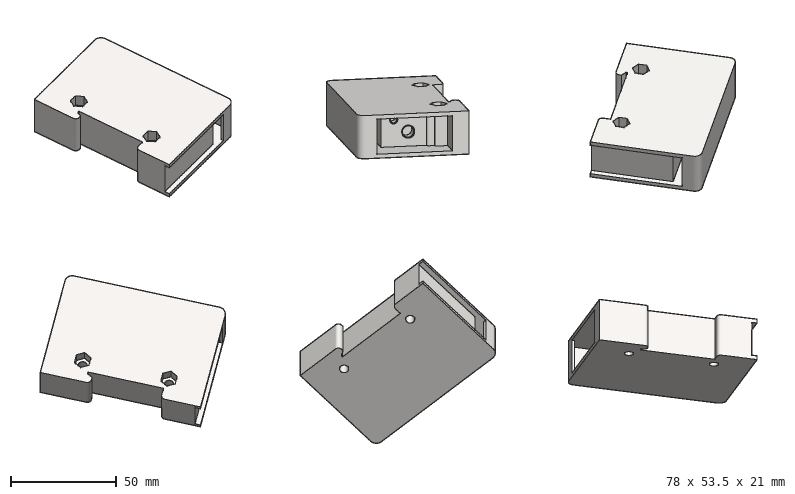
import cadquery as cq
import math

length = 78.0
depth = 53.5
height = 21.0
back_corner_radius = 3.6

side_wall = 1.4
plate = 2.0
cavity_height = height - 2 * plate
cavity_back = depth - side_wall
cavity_corner_radius = back_corner_radius - side_wall

window_front = 8.0
window_back = 44.6
core_left = 14.2
core_back = 39.65

slot_left = 75.4

lower_step_back = 17.6
upper_step_back = 14.0
step_height = 1.3
step_radius = 1.1

rail_left = 21.9
rail_right = 58.7
rail_depth = 5.5
hook_tip = 24.5
hook_top = 4.7
hook_slope_end = 3.2
lip_radius = 2.0

bolt_offset = 21.0
bolt_y = 11.1
bolt_diameter = 4.3
nut_across_flats = 7.0
nut_depth = 6.0

wall_holes = [(33.5, 15.05, 3.1), (26.5, 9.05, 5.5)]
wall_hole_depth = 5.0
wall_hole_chamfer = 0.4


def block(x_range, y_range):
    """Rectangular block filling the height between the two plates."""
    x0, x1 = x_range
    y0, y1 = y_range
    return (
        cq.Workplane("XY", origin=(x0, y0, plate))
        .rect(x1 - x0, y1 - y0, centered=False)
        .extrude(cavity_height)
    )


def make_body():
    """Outer block with rounded rear corners."""
    body = cq.Workplane("XY").rect(length, depth, centered=False).extrude(height)
    return body.edges("|Z and >Y").fillet(back_corner_radius)


def make_rail_recess():
    """Cutter for the rail recess; both lips are rounded on the open side."""
    diagonal = lip_radius * (1 - math.sqrt(0.5))
    return (
        cq.Workplane("XY")
        .moveTo(hook_tip - lip_radius, 0)
        .threePointArc((hook_tip - diagonal, diagonal), (hook_tip, lip_radius))
        .lineTo(hook_tip, hook_slope_end)
        .lineTo(rail_left, hook_top)
        .lineTo(rail_left, rail_depth)
        .lineTo(rail_right, rail_depth)
        .lineTo(rail_right, lip_radius)
        .threePointArc((rail_right + diagonal, diagonal), (rail_right + lip_radius, 0))
        .close()
        .extrude(height)
    )


def make_cavity():
    """Compartment, rear channel, window and end slot joined into one cutter."""
    channel = block((side_wall, length - side_wall), (core_back, cavity_back))
    channel = channel.edges("|Z and >Y").fillet(cavity_corner_radius)
    compartment = block((side_wall, core_left), (window_front, core_back))
    window = block((0, side_wall), (window_front, window_back))
    end_slot = block((slot_left, length), (0, window_back))
    return channel.union(compartment).union(window).union(end_slot)


def make_steps():
    """Two stacked steps on the compartment end wall, the lower one rounded at its rear edge."""
    lower = block((core_left - step_height, core_left), (window_front, lower_step_back))
    lower = lower.edges("|Z and <X and >Y").fillet(step_radius)
    upper = block((core_left - 2 * step_height, core_left), (window_front, upper_step_back))
    return lower.union(upper)


def make_bolt_hole(x):
    """Through hole with a hexagonal nut pocket sunk into the top plate."""
    hole = cq.Workplane("XY", origin=(x, bolt_y, 0)).circle(bolt_diameter / 2).extrude(height)
    across_corners = nut_across_flats / math.cos(math.pi / 6)
    pocket = (
        cq.Workplane("XY", origin=(x, bolt_y, height - nut_depth))
        .transformed(rotate=(0, 0, 30))
        .polygon(6, across_corners)
        .extrude(nut_depth)
    )
    return hole.union(pocket)


def make_wall_hole(y, z, diameter):
    """Blind hole along X with a chamfered mouth."""
    hole = cq.Workplane("YZ", origin=(core_left, y, z)).circle(diameter / 2).extrude(wall_hole_depth)
    mouth_radius = diameter / 2 + wall_hole_chamfer
    mouth = (
        cq.Workplane("YZ", origin=(core_left, y, z))
        .circle(mouth_radius)
        .extrude(wall_hole_chamfer, taper=45)
    )
    return hole.union(mouth)


result = make_body().cut(make_rail_recess()).cut(make_cavity()).union(make_steps())
for side in (-1, 1):
    result = result.cut(make_bolt_hole(length / 2 + side * bolt_offset))
for hole_y, hole_z, hole_diameter in wall_holes:
    result = result.cut(make_wall_hole(hole_y, hole_z, hole_diameter))